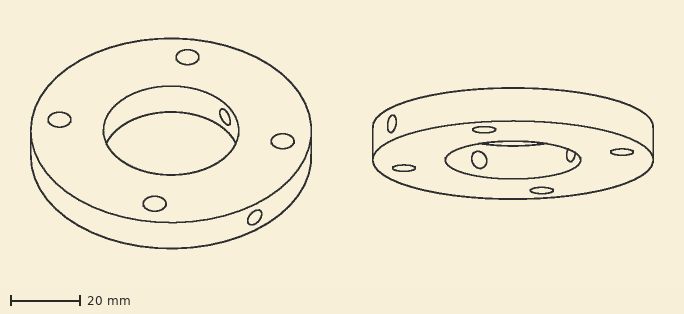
import cadquery as cq
import math

outer_diameter = 81.0
bore_diameter = 39.05
thickness = 10.0

mounting_hole_diameter = 6.6
mounting_hole_spacing = 46.0

radial_hole_diameter = 5.0
blind_hole_depth = 12.15
drill_point_angle = 118.0

outer_radius = outer_diameter / 2
bore_radius = bore_diameter / 2
radial_hole_radius = radial_hole_diameter / 2


def make_ring():
    """Flat ring centred on the origin, with four mounting holes."""
    return (
        cq.Workplane("XY")
        .circle(outer_radius)
        .circle(bore_radius)
        .extrude(thickness / 2, both=True)
        .rect(mounting_hole_spacing, mounting_hole_spacing, forConstruction=True)
        .vertices()
        .circle(mounting_hole_diameter / 2)
        .cutThruAll()
    )


def make_through_drill():
    """Straight drill along +X, from the ring axis to the outside."""
    return cq.Workplane("YZ").circle(radial_hole_radius).extrude(outer_radius)


def make_blind_drill():
    """Drill entering at -X and ending in a cone inside the wall, short of the bore."""
    tip_length = radial_hole_radius / math.tan(math.radians(drill_point_angle / 2))
    cone_start = -outer_radius + blind_hole_depth
    return (
        cq.Workplane("XZ")
        .moveTo(-outer_radius, 0)
        .lineTo(-outer_radius, radial_hole_radius)
        .lineTo(cone_start, radial_hole_radius)
        .lineTo(cone_start + tip_length, 0)
        .close()
        .revolve(360, (0, 0, 0), (1, 0, 0))
    )


through_drill = make_through_drill()

result = (
    make_ring()
    .cut(through_drill)
    .cut(through_drill.rotate((0, 0, 0), (0, 0, 1), 90))
    .cut(make_blind_drill())
)